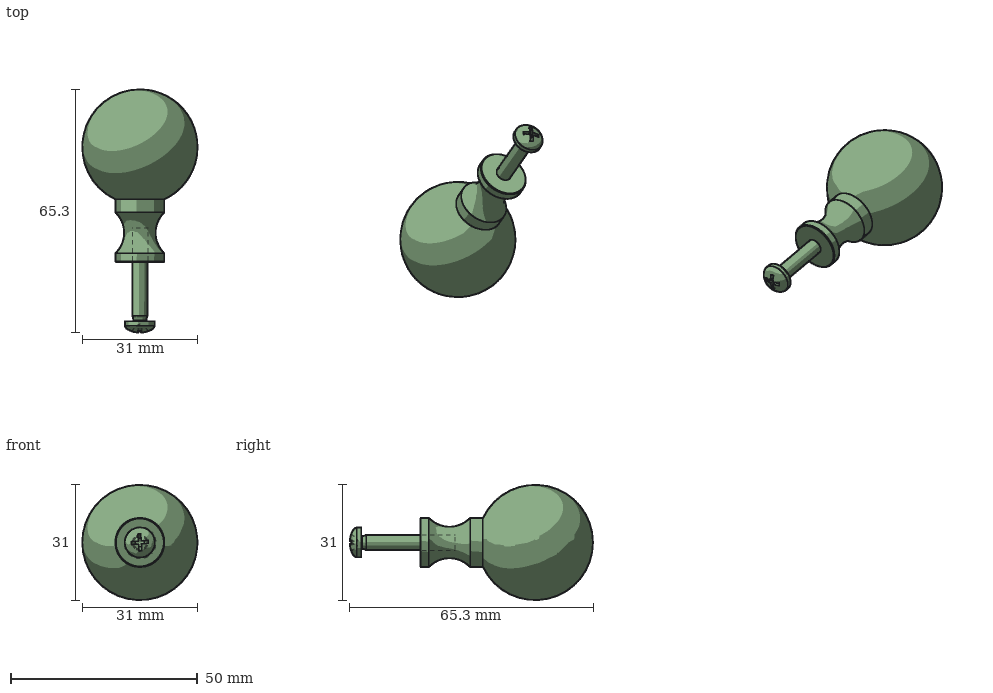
import cadquery as cq
import math


overall_length = 65.29

ball_radius = 15.5
stem_radius = 6.6
collar_front = -17.5
neck_length = 11.0
neck_waist_radius = 4.25
flange_thickness = 2.35
flange_chamfer = 0.2

flange_back = collar_front - neck_length
neck_middle = collar_front - neck_length / 2
flange_face = flange_back - flange_thickness
stem_back = -math.sqrt(ball_radius**2 - stem_radius**2)

screw_length = 25.0
shank_radius = 2.07
undercut_top_radius = 1.87
undercut_root_radius = 1.75
undercut_length = 1.35
shank_chamfer = 0.4
undercut_chamfer = 0.2

head_radius = 4.03
head_rim_height = 1.25
head_height = 3.15
dome_radius = 3.2
dome_rise = 0.85
rim_bulge_radius = 3.8
rim_bulge_offset = 0.5

head_tip = ball_radius - overall_length
head_back = head_tip + head_height
shank_front = head_back + undercut_length
shank_end = head_back + screw_length
rim_front = head_back - head_rim_height
dome_back = head_tip + dome_rise

recess_width = 0.8
recess_mouth_radius = 2.6
recess_floor_radius = 1.2
recess_wall_depth = 1.9
recess_depth = 2.4
recess_turn = 4.0


def revolve_about_y(profile):
    return profile.close().revolve(360, (0, 0, 0), (0, 1, 0))


def make_knob():
    profile = (
        cq.Workplane("XY")
        .moveTo(0, ball_radius)
        .threePointArc((ball_radius, 0), (stem_radius, stem_back))
        .lineTo(stem_radius, collar_front)
        .threePointArc((neck_waist_radius, neck_middle), (stem_radius, flange_back))
        .lineTo(stem_radius, flange_face + flange_chamfer)
        .lineTo(stem_radius - flange_chamfer, flange_face)
        .lineTo(0, flange_face)
    )
    screw_hole = cq.Workplane("XZ", origin=(0, shank_end, 0)).circle(shank_radius).extrude(
        shank_end - flange_face
    )
    return revolve_about_y(profile).cut(screw_hole)


def make_cross_recess():
    tapered_pit = revolve_about_y(
        cq.Workplane("XY")
        .moveTo(0, head_tip)
        .lineTo(recess_mouth_radius, head_tip)
        .lineTo(recess_floor_radius, head_tip + recess_wall_depth)
        .lineTo(0, head_tip + recess_depth)
    )
    middle = (0, head_tip + recess_depth / 2, 0)
    slot_length = 2 * recess_mouth_radius
    slots = (
        cq.Workplane("XY")
        .box(slot_length, recess_depth, recess_width)
        .union(cq.Workplane("XY").box(recess_width, recess_depth, slot_length))
        .rotate((0, 0, 0), (0, 1, 0), -recess_turn)
        .translate(middle)
    )
    return tapered_pit.intersect(slots)


def dome_middle():
    curvature_radius = (dome_radius**2 + dome_rise**2) / (2 * dome_rise)
    half_width = dome_radius / 2
    drop = curvature_radius - math.sqrt(curvature_radius**2 - half_width**2)
    return half_width, head_tip + drop


def make_screw():
    profile = (
        cq.Workplane("XY")
        .moveTo(0, shank_end)
        .lineTo(shank_radius, shank_end)
        .lineTo(shank_radius, shank_front)
        .lineTo(undercut_top_radius, shank_front - shank_chamfer)
        .lineTo(undercut_root_radius, head_back + undercut_chamfer)
        .lineTo(undercut_top_radius, head_back)
        .lineTo(head_radius, head_back)
        .lineTo(head_radius, rim_front)
        .threePointArc((rim_bulge_radius, rim_front - rim_bulge_offset), (dome_radius, dome_back))
        .threePointArc(dome_middle(), (0, head_tip))
    )
    return revolve_about_y(profile).cut(make_cross_recess())


knob = make_knob()
screw = make_screw()

result = cq.Compound.makeCompound([knob.val(), screw.val()])